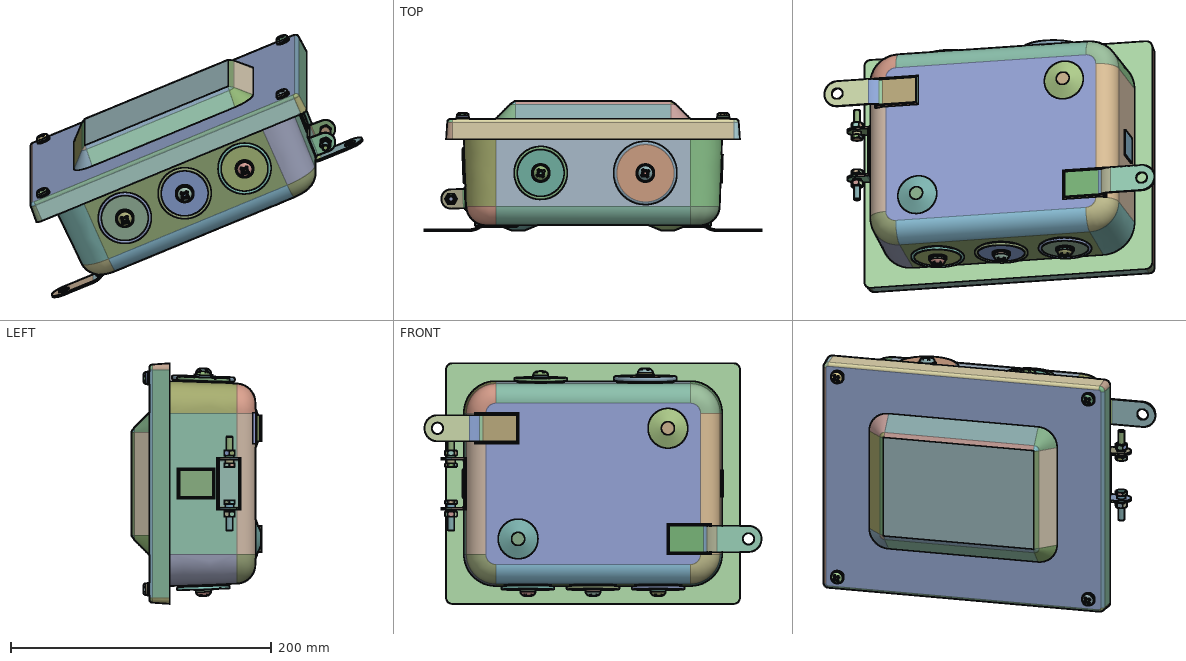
import cadquery as cq
import math


flange_width = 225.8
flange_height = 185.0
flange_thickness = 15.8
flange_corner_radius = 5.0
flange_taper = 4.0
flange_edge_round = 2.5

body_half_width = 99.2
body_half_height = 78.7
body_depth = 65.8
body_corner_radius = 24.5
body_taper = 2.0
body_back_round = 15.0

panel_width = 149.7
panel_height = 109.5
panel_corner_radius = 15.3
panel_rise = 13.7
panel_taper = 45.0
panel_rim_rise = 2.3
panel_rim_taper = 56.0

cover_screw_x = 100.0
cover_screw_z = 81.0
cover_washer_diameter = 10.0
cover_head_diameter = 9.3
cover_head_height = 3.4

plug_depth = 25.6
small_plug_diameter = 36.0
small_plug_thickness = 2.5
large_plug_diameter = 44.0
large_plug_thickness = 4.7
plug_rim_bulge = 2.3
plug_rim_gap = 1.0
top_plug_x = 40.1
bottom_plug_spacing = 50.0
plug_washer_diameter = 14.0
plug_head_diameter = 12.0
plug_head_height = 4.7

washer_thickness = 1.3
head_side_height = 1.5
head_flat_ratio = 0.45
dome_bulge = 0.8
recess_length_ratio = 0.6
recess_width = 1.5
recess_depth = 2.0
recess_angle = 35.0

foot_x = 57.5
foot_z = 42.5
foot_base_diameter = 30.5
foot_tip_diameter = 10.0
foot_height = 4.1

sheet = 1.5
bead_width = 1.68
bead_height = 1.0
bead_slope = 45.0
strap_bead_root = 2.0

end_round_slack = 0.003

strap_reach = 129.5
strap_width = 20.2
strap_hole_diameter = 8.5
strap_drop = 3.0
strap_bend_outer_x = 95.0
strap_bend_inner_x = 84.7
strap_outer_bend_share = 0.75
strap_inner_end_x = 58.5
strap_bead_start_x = 89.0

pad_length = 25.5
pad_height = 20.2
pad_depth = 20.2
label_length = 21.8
label_depth = 22.5
label_thickness = 1.0

bracket_depth = 45.3
bracket_width = 15.0
bracket_outer_height = 40.0
bracket_bend_radius = 2.3
bracket_reach = 19.0

bolt_diameter = 5.0
collar_diameter = 6.7
bolt_tip_z = 36.3
bolt_tip_chamfer = 0.5
hex_across_corners = 9.3
nut_start_z = 21.2
nut_end_z = 25.6
nut_chamfer = 0.8
bolt_head_start_z = 12.7
bolt_head_end_z = 15.8


def rounded_block(width, height, radius, length, taper, direction, start_y=0.0):
    """Tapered rounded rectangle growing along Y from start_y; direction is +1 or -1."""
    plane = cq.Plane(origin=(0, start_y, 0), xDir=(1, 0, 0), normal=(0, direction, 0))
    outline = cq.Sketch().rect(width, height).vertices().fillet(radius)
    return cq.Workplane(plane).placeSketch(outline).extrude(length, taper=taper)


def wall_inset(depth):
    """How far the tapered body wall has moved inward at a depth behind the flange."""
    return depth * math.tan(math.radians(body_taper))


def side_wall_plane(side, depth):
    """Plane on the left (-1) or right (+1) wall; local X is vertical, local Y runs along the depth."""
    tilt = math.radians(body_taper)
    return cq.Plane(
        origin=(side * (body_half_width - wall_inset(depth)), -depth, 0),
        xDir=(0, 0, 1),
        normal=(side * math.cos(tilt), -math.sin(tilt), 0),
    )


def end_wall_plane(side, x, depth):
    """Plane on the bottom (-1) or top (+1) wall; local X runs along X."""
    tilt = math.radians(body_taper)
    return cq.Plane(
        origin=(x, -depth, side * (body_half_height - wall_inset(depth))),
        xDir=(1, 0, 0),
        normal=(0, -math.sin(tilt), side * math.cos(tilt)),
    )


def on_plane(shape, plane):
    """Move a shape modelled at the origin, standing on XY, onto a plane."""
    return cq.Workplane(shape.val().moved(cq.Location(plane)))


def make_enclosure():
    """Flange, tapered body and raised cover panel."""
    flange = rounded_block(
        flange_width, flange_height, flange_corner_radius, flange_thickness, flange_taper, 1
    )
    flange = flange.faces(">Y").edges().fillet(flange_edge_round)
    body = rounded_block(
        2 * body_half_width, 2 * body_half_height, body_corner_radius, body_depth, body_taper, -1
    )
    body = body.faces("<Y").edges().fillet(body_back_round)

    slope_rise = panel_rise - panel_rim_rise
    inset = slope_rise * math.tan(math.radians(panel_taper))
    slope = rounded_block(
        panel_width, panel_height, panel_corner_radius, slope_rise, panel_taper, 1, flange_thickness
    )
    rim = rounded_block(
        panel_width - 2 * inset,
        panel_height - 2 * inset,
        panel_corner_radius - inset,
        panel_rim_rise,
        panel_rim_taper,
        1,
        flange_thickness + slope_rise,
    )
    return flange.union(body).union(slope).union(rim)


def pan_head_screw(washer_diameter, head_diameter, head_height):
    """Washer and domed head with a cross recess, standing on XY."""
    head_radius = head_diameter / 2
    flat_radius = head_radius * head_flat_ratio
    top = washer_thickness + head_height
    dome_start = washer_thickness + head_side_height
    dome_middle = (
        (head_radius + flat_radius + dome_bulge) / 2,
        (dome_start + top + dome_bulge) / 2,
    )
    screw = (
        cq.Workplane("XZ")
        .lineTo(washer_diameter / 2, 0)
        .lineTo(washer_diameter / 2, washer_thickness)
        .lineTo(head_radius, washer_thickness)
        .lineTo(head_radius, dome_start)
        .threePointArc(dome_middle, (flat_radius, top))
        .lineTo(0, top)
        .close()
        .revolve(360, (0, 0, 0), (0, 1, 0))
    )
    for angle in (recess_angle, recess_angle + 90):
        slot = (
            cq.Workplane("XY")
            .workplane(offset=top - recess_depth)
            .transformed(rotate=(0, 0, angle))
            .rect(head_diameter * recess_length_ratio, recess_width)
            .extrude(2 * recess_depth)
        )
        screw = screw.cut(slot)
    return screw


def knockout_plug(diameter, thickness):
    """Disc with an undercut, bulging rim and a screw in its centre, standing on XY."""
    radius = diameter / 2
    disc = (
        cq.Workplane("XZ")
        .lineTo(radius, 0)
        .lineTo(radius, plug_rim_gap)
        .lineTo(radius + plug_rim_bulge / 2, plug_rim_gap)
        .threePointArc((radius + plug_rim_bulge, (plug_rim_gap + thickness) / 2), (radius, thickness))
        .lineTo(0, thickness)
        .close()
        .revolve(360, (0, 0, 0), (0, 1, 0))
    )
    screw = pan_head_screw(plug_washer_diameter, plug_head_diameter, plug_head_height)
    return disc.union(screw.translate((0, 0, thickness)))


def make_foot(x, z):
    """Conical foot on the back face."""
    plane = cq.Plane(origin=(x, -body_depth, z), xDir=(1, 0, 0), normal=(0, -1, 0))
    return (
        cq.Workplane(plane)
        .circle(foot_base_diameter / 2)
        .workplane(offset=foot_height)
        .circle(foot_tip_diameter / 2)
        .loft()
    )


def weld_bead(plane, length_x, length_y):
    """Sloping bead around a rectangle of sheet lying on a plane."""
    return (
        cq.Workplane(plane)
        .rect(length_x + 2 * bead_width, length_y + 2 * bead_width)
        .extrude(bead_height, taper=bead_slope)
    )


def make_strap():
    """Joggled mounting strap toward -X, welded to the back."""
    back = -body_depth
    middle = (
        -strap_bend_outer_x + strap_outer_bend_share * (strap_bend_outer_x - strap_bend_inner_x),
        back - (1 - strap_outer_bend_share) * strap_drop,
    )
    lower_middle = (middle[0], middle[1] - sheet)
    strap = (
        cq.Workplane("XY")
        .moveTo(-strap_reach, back - strap_drop)
        .lineTo(-strap_bend_outer_x, back - strap_drop)
        .tangentArcPoint(middle, relative=False)
        .tangentArcPoint((-strap_bend_inner_x, back), relative=False)
        .lineTo(-strap_inner_end_x, back)
        .lineTo(-strap_inner_end_x, back - sheet)
        .lineTo(-strap_bend_inner_x, back - sheet)
        .tangentArcPoint(lower_middle, relative=False)
        .tangentArcPoint((-strap_bend_outer_x, back - strap_drop - sheet), relative=False)
        .lineTo(-strap_reach, back - strap_drop - sheet)
        .close()
        .extrude(strap_width / 2, both=True)
    )
    end_radius = strap_width / 2
    strap = strap.edges("|Y and <X").fillet(end_radius - end_round_slack)
    hole = (
        cq.Workplane("XZ")
        .center(-strap_reach + end_radius, 0)
        .circle(strap_hole_diameter / 2)
        .extrude(2 * body_depth)
    )
    bead_centre_x = -(strap_bead_start_x + strap_inner_end_x) / 2
    bead_length = strap_bead_start_x - strap_inner_end_x
    bead_plane = cq.Plane(origin=(bead_centre_x, back, 0), xDir=(1, 0, 0), normal=(0, -1, 0))
    bead = weld_bead(bead_plane, bead_length, strap_width)
    root = (
        cq.Workplane(bead_plane)
        .rect(bead_length + 2 * bead_width, strap_width + 2 * bead_width)
        .extrude(-strap_bead_root)
    )
    return strap.cut(hole).union(bead).union(root).translate((0, 0, foot_z))


def make_label_plate():
    """Thin plate on the +X wall."""
    plane = side_wall_plane(1, label_depth)
    return cq.Workplane(plane).rect(pad_height, label_length).extrude(label_thickness)


def make_pad():
    """Welded rectangular pad on the -X wall."""
    plane = side_wall_plane(-1, pad_depth)
    pad = cq.Workplane(plane).rect(pad_height, pad_length).extrude(sheet)
    return pad.union(weld_bead(plane, pad_height, pad_length))


def earth_bolt():
    """Bolt along +Z with its hexagon head inside the bracket and a nut outside."""
    shank = cq.Workplane("XY").workplane(offset=bolt_head_start_z).circle(bolt_diameter / 2)
    shank = shank.extrude(bolt_tip_z - bolt_head_start_z).faces(">Z").chamfer(bolt_tip_chamfer)
    collar = cq.Workplane("XY").workplane(offset=bolt_head_end_z).circle(collar_diameter / 2)
    collar = collar.extrude(nut_start_z - bolt_head_end_z)
    bolt = shank.union(collar)
    for start, end in ((bolt_head_start_z, bolt_head_end_z), (nut_start_z, nut_end_z)):
        base = cq.Workplane("XY").workplane(offset=start)
        rounding = base.circle(hex_across_corners / 2).extrude(end - start).edges().chamfer(nut_chamfer)
        bolt = bolt.union(base.polygon(6, hex_across_corners).extrude(end - start).intersect(rounding))
    return bolt


def make_earth_bracket():
    """U-shaped bracket with rounded ears and a bolt in each ear."""
    plane = side_wall_plane(-1, bracket_depth)
    ear_radius = bracket_width / 2
    outer = cq.Workplane("XY").box(
        bracket_outer_height, bracket_width, bracket_reach, centered=(True, True, False)
    )
    outer = outer.edges("|Y and <Z").fillet(bracket_bend_radius)
    outer = outer.edges("|X and >Z").fillet(ear_radius - end_round_slack)
    opening = (
        cq.Workplane("XY")
        .workplane(offset=sheet)
        .rect(bracket_outer_height - 2 * sheet, 2 * bracket_width)
        .extrude(bracket_reach)
        .edges("|Y and <Z")
        .fillet(bracket_bend_radius - sheet)
    )
    bracket = on_plane(outer.cut(opening), plane)
    bracket = bracket.union(weld_bead(plane, bracket_outer_height - 2 * bead_width, bracket_width))

    bolt_centre = plane.toWorldCoords((0, 0, bracket_reach - ear_radius))
    upper_bolt = earth_bolt()
    for bolt in (upper_bolt, upper_bolt.mirror("XY")):
        bracket = bracket.union(bolt.translate((bolt_centre.x, bolt_centre.y, 0)))
    return bracket


result = make_enclosure()

cover_screw = pan_head_screw(cover_washer_diameter, cover_head_diameter, cover_head_height)
for x in (-cover_screw_x, cover_screw_x):
    for z in (-cover_screw_z, cover_screw_z):
        seat = cq.Plane(origin=(x, flange_thickness, z), xDir=(1, 0, 0), normal=(0, 1, 0))
        result = result.union(on_plane(cover_screw, seat))

small_plug = knockout_plug(small_plug_diameter, small_plug_thickness)
large_plug = knockout_plug(large_plug_diameter, large_plug_thickness)
result = result.union(on_plane(small_plug, end_wall_plane(1, -top_plug_x, plug_depth)))
result = result.union(on_plane(large_plug, end_wall_plane(1, top_plug_x, plug_depth)))
for x in (-bottom_plug_spacing, 0, bottom_plug_spacing):
    result = result.union(on_plane(small_plug, end_wall_plane(-1, x, plug_depth)))

result = result.union(make_foot(foot_x, foot_z)).union(make_foot(-foot_x, -foot_z))

left_strap = make_strap()
result = result.union(left_strap)
result = result.union(left_strap.rotate((0, 0, 0), (0, 1, 0), 180))

result = result.union(make_pad()).union(make_label_plate())
result = result.union(make_earth_bracket())